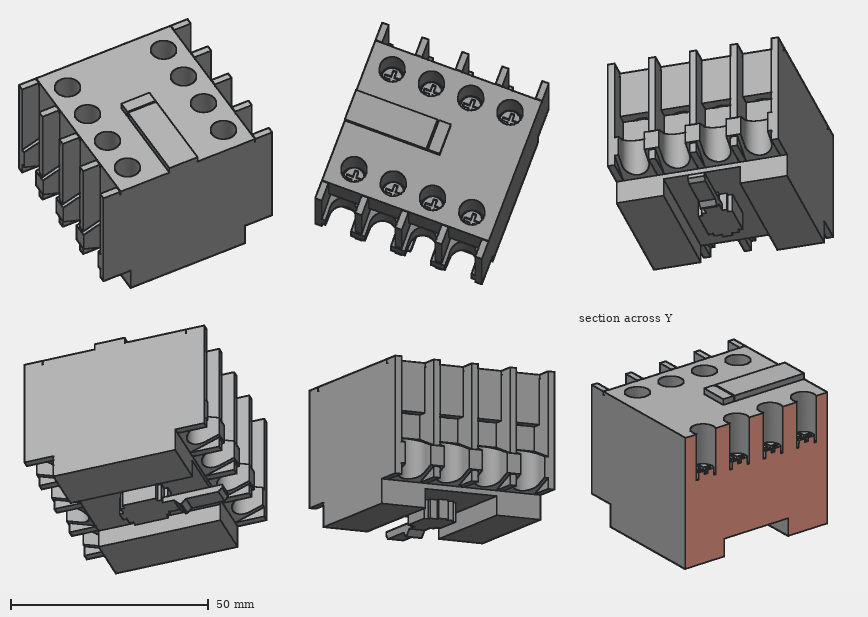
import cadquery as cq
import math


poles = 4
width = 45.0
total_height = 40.0
shroud_depth = 49.3

base_bottom = 1.65
rib_bottom = 8.0
ledge_z = 25.5
top_z = 38.4

core_depth = 32.9
top_depth = 38.6
rib_depth = 48.5
rib_thickness = 1.8
rib_pitch = (width - rib_thickness) / poles

cover_thickness = 1.05
groove_clearance = 0.15

shroud_angle = 20.0
shroud_front_height = 5.15
slot_radius = 3.5
slot_center_y = 21.0

screw_pitch = 10.6
screw_row_y = 13.8
hole_diameter = 6.5
head_diameter = 5.5
head_height = 2.0
cross_length = 4.1
cross_width = 0.87
cross_depth = 1.0

channel_width = 20.2
channel_top = 6.6

plunger_widths = (9.0, 6.6, 2.6)
plunger_depth = 9.0
plunger_step = 1.0
hook_width = 4.35
hook_back_y = 21.5
hook_top = 3.25
hook_bottom = 1.25
hook_chamfer = 1.0
tip_y = 10.3
tip_flat = 0.4

slider_width_y = 8.1
slider_center_y = -1.25
slider_left_x = -3.1
slider_button_length = 3.25
slider_gap = 0.35


def block(x_limits, depth, z_limits, center_y=0.0):
    """Box given by its X limits, its Y depth and centre, and its Z limits."""
    x0, x1 = x_limits
    z0, z1 = z_limits
    box = cq.Workplane("XY").box(x1 - x0, depth, z1 - z0, centered=(False, True, False))
    return box.translate((x0, center_y, z0))


def row_positions(pitch, count):
    """Evenly spaced X positions centred on X = 0."""
    return [(i - (count - 1) / 2) * pitch for i in range(count)]


full_width = (-width / 2, width / 2)
bay_centers = row_positions(rib_pitch, poles)


def make_core():
    core = block(full_width, core_depth, (base_bottom, top_z))
    upper_wall = block(full_width, top_depth, (ledge_z, top_z))
    return core.union(upper_wall)


def make_ribs():
    """Partition ribs with a groove across their tops for the cover plate."""
    ribs = cq.Workplane("XY")
    for x in row_positions(rib_pitch, poles + 1):
        x_limits = (x - rib_thickness / 2, x + rib_thickness / 2)
        ribs = ribs.union(block(x_limits, rib_depth, (rib_bottom, top_z)))
    groove_depth = top_depth + 2 * groove_clearance
    groove = block(full_width, groove_depth, (top_z - cover_thickness, top_z))
    return ribs.cut(groove)


def make_shroud():
    """Shroud on the +Y side, tapering outward from the core to a flat front."""
    wall_y = core_depth / 2
    front_y = shroud_depth / 2
    taper = (front_y - wall_y) * math.tan(math.radians(shroud_angle))
    front_bottom = rib_bottom + taper
    front_top = front_bottom + shroud_front_height
    profile = [
        (0, rib_bottom),
        (wall_y, rib_bottom),
        (front_y, front_bottom),
        (front_y, front_top),
        (wall_y, front_top + taper),
        (0, front_top + taper),
    ]
    shroud = cq.Workplane("YZ").polyline(profile).close().extrude(width / 2, both=True)

    rib_front = block(full_width, rib_depth, (0, top_z))
    inner_bars = block((bay_centers[0], bay_centers[-1]), shroud_depth, (0, top_z))
    shroud = shroud.intersect(rib_front.union(inner_bars))

    for x in bay_centers:
        slot = cq.Workplane("XY").center(x, slot_center_y).circle(slot_radius).extrude(top_z)
        mouth = block(
            (x - slot_radius, x + slot_radius),
            2 * slot_radius,
            (0, top_z),
            slot_center_y + slot_radius,
        )
        shroud = shroud.cut(slot.union(mouth))
    return shroud


def screw_points():
    return [(x, y) for x in row_positions(screw_pitch, poles) for y in (-screw_row_y, screw_row_y)]


def make_screw_holes():
    """Blind holes that reach down to the ledge under the upper wall."""
    holes = cq.Workplane("XY").workplane(offset=ledge_z).pushPoints(screw_points())
    return holes.circle(hole_diameter / 2).extrude(top_z - ledge_z)


def make_screw_heads():
    head_top = ledge_z + head_height
    points = screw_points()
    heads = cq.Workplane("XY").workplane(offset=ledge_z).pushPoints(points)
    heads = heads.circle(head_diameter / 2).extrude(head_height)
    for size in ((cross_length, cross_width), (cross_width, cross_length)):
        recess = cq.Workplane("XY").workplane(offset=head_top).pushPoints(points)
        heads = heads.cut(recess.rect(*size).extrude(-cross_depth))
    return heads


def make_slider():
    """Short button and long slide bar, separated by a narrow gap."""
    button_right = slider_left_x + slider_button_length
    z_limits = (top_z, total_height)
    button = block((slider_left_x, button_right), slider_width_y, z_limits, slider_center_y)
    bar_limits = (button_right + slider_gap, width / 2)
    return button.union(block(bar_limits, slider_width_y, z_limits, slider_center_y))


def make_plunger():
    """Block hanging in the channel, narrowing in steps toward both Y sides."""
    plunger = cq.Workplane("XY")
    for stage, stage_width in enumerate(plunger_widths):
        x_limits = (-stage_width / 2, stage_width / 2)
        depth = plunger_depth + 2 * stage * plunger_step
        plunger = plunger.union(block(x_limits, depth, (base_bottom, channel_top)))
    return plunger


def make_hook():
    """Latch arm from the plunger toward +Y, with a pointed catch underneath."""
    catch_front_y = tip_y - tip_flat / 2
    catch_back_y = tip_y + tip_flat / 2
    profile = [
        (0, hook_top),
        (0, base_bottom),
        (catch_front_y - base_bottom, base_bottom),
        (catch_front_y, 0),
        (catch_back_y, 0),
        (catch_back_y + hook_bottom, hook_bottom),
        (hook_back_y - hook_chamfer, hook_bottom),
        (hook_back_y, hook_bottom + hook_chamfer),
        (hook_back_y, hook_top),
    ]
    return cq.Workplane("YZ").polyline(profile).close().extrude(hook_width / 2, both=True)


channel = block((-channel_width / 2, channel_width / 2), core_depth, (base_bottom, channel_top))
shroud = make_shroud()

result = (
    make_core()
    .cut(channel)
    .union(make_ribs())
    .union(shroud)
    .union(shroud.mirror("XZ"))
    .cut(make_screw_holes())
    .union(make_screw_heads())
    .union(make_slider())
    .union(make_plunger())
    .union(make_hook())
)